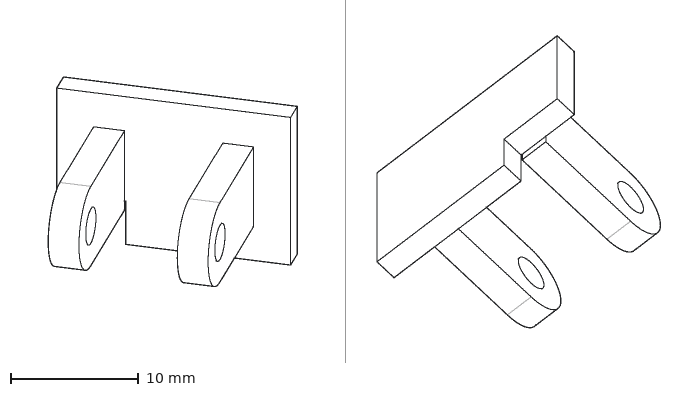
import cadquery as cq

plate_width = 19.0
plate_height = 13.0
plate_thickness = 2.0

notch_width = 5.6
notch_height = 3.8

overall_depth = 15.4
arm_thickness = 2.5
arm_height = 7.0
arm_side_inset = 3.0
arm_top_inset = 3.0
pin_diameter = 3.0

end_radius = arm_height / 2
arm_reach = overall_depth - plate_thickness
pin_y = end_radius - arm_reach
arm_top = plate_height - arm_top_inset
arm_bottom = arm_top - arm_height
pin_z = arm_top - end_radius


def make_plate():
    """Plate standing behind Y = 0, with its lower left corner cut away."""
    plate = cq.Workplane("XY").box(plate_width, plate_thickness, plate_height, centered=False)
    notch = cq.Workplane("XY").box(notch_width, plate_thickness, notch_height, centered=False)
    return plate.cut(notch)


def make_arm(left_x):
    """Arm reaching from the plate towards -Y, with a pin hole through its round end."""
    arm = (
        cq.Workplane("YZ", origin=(left_x, 0, 0))
        .moveTo(0, arm_top)
        .lineTo(pin_y, arm_top)
        .threePointArc((-arm_reach, pin_z), (pin_y, arm_bottom))
        .lineTo(0, arm_bottom)
        .close()
        .extrude(arm_thickness)
    )
    pin_hole = (
        cq.Workplane("YZ", origin=(left_x, pin_y, pin_z))
        .circle(pin_diameter / 2)
        .extrude(arm_thickness)
    )
    return arm.cut(pin_hole)


right_arm_x = plate_width - arm_side_inset - arm_thickness

result = make_plate()
for left_x in (arm_side_inset, right_arm_x):
    result = result.union(make_arm(left_x))